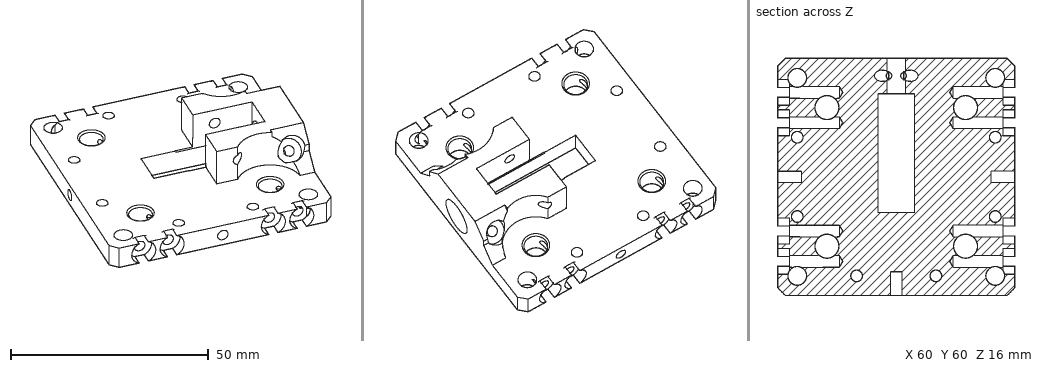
import cadquery as cq
import math

plate_side = 60.0
plate_thickness = 6.0
corner_chamfer = 2.0
half_side = plate_side / 2
mid_plane_z = plate_thickness / 2

corner_hole_diameter = 4.7
corner_hole_offset = 25.0
pin_hole_diameter = 2.9
pin_hole_offset = 10.0
rod_hole_diameter = 6.0
rod_hole_offset = 17.5
rod_hole_chamfer = 0.5

clamp_offset = 3.85
clamp_hole_diameter = 2.9
clamp_hole_depth = 15.6
drill_point_half_angle = math.radians(59)
screw_head_diameter = 6.5
screw_head_depth = 3.0
edge_hole_diameter = 2.8
edge_hole_depth = 6.0

block_width = 25.0
block_length = 25.0
block_height = 10.0
block_front_y = half_side - block_length
block_top_z = plate_thickness + block_height
rod_clearance_radius = 8.5

slot_width = 9.1
slot_front_y = -9.0
slot_back_y = 21.0
arch_diameter = 9.7
arch_start_y = 0.4
arch_top_height = 6.1
arch_axis_z = plate_thickness + arch_top_height - arch_diameter / 2
cross_pin_diameter = 2.9
cross_pin_y = 10.9
cross_pin_height = 6.0
cross_pin_z = plate_thickness + cross_pin_height

flank_size = 4.0
flank_front_y = slot_back_y
inclined_hole_diameter = 2.75
inclined_hole_y = 25.55
inclined_seat_x = 9.7
inclined_seat_height = 3.2
inclined_seat_z = plate_thickness + inclined_seat_height
inclined_hole_length = 12.0
tool_clearance_length = 9.0


def drill(center, direction, diameter, depth):
    """Cylinder starting at center and running along direction."""
    return cq.Workplane(cq.Solid.makeCylinder(diameter / 2, depth, cq.Vector(*center), cq.Vector(*direction)))


def make_plate():
    plate = (
        cq.Workplane("XY")
        .rect(plate_side, plate_side)
        .extrude(plate_thickness)
        .edges("|Z")
        .chamfer(corner_chamfer)
    )
    return plate


def make_block():
    """Block with chamfered top edges, wedges at its foot and round clearances for the rods."""
    block = (
        cq.Workplane("XY", origin=(0, half_side - block_length / 2, plate_thickness))
        .rect(block_width, block_length)
        .extrude(block_height)
    )
    flank_length = half_side - flank_front_y
    half_width = block_width / 2
    for side in (-1, 1):
        flank_plane = cq.Workplane("XZ", origin=(0, half_side, 0))
        top_corner = (
            flank_plane.moveTo(side * half_width, block_top_z)
            .lineTo(side * (half_width - flank_size), block_top_z)
            .lineTo(side * half_width, block_top_z - flank_size)
            .close()
            .extrude(flank_length)
        )
        foot_wedge = (
            flank_plane.moveTo(side * half_width, plate_thickness)
            .lineTo(side * (half_width + flank_size), plate_thickness)
            .lineTo(side * half_width, plate_thickness + flank_size)
            .close()
            .extrude(flank_length)
        )
        rod_clearance = drill(
            (side * rod_hole_offset, rod_hole_offset, plate_thickness),
            (0, 0, 1),
            2 * rod_clearance_radius,
            block_height,
        )
        block = block.cut(top_corner).union(foot_wedge).cut(rod_clearance)
    return block


def cut_slot_and_passages(body):
    slot = (
        cq.Workplane("XY", origin=(0, (slot_front_y + slot_back_y) / 2, 0))
        .rect(slot_width, slot_back_y - slot_front_y)
        .extrude(block_top_z)
    )
    arch = drill((0, arch_start_y, arch_axis_z), (0, 1, 0), arch_diameter, half_side - arch_start_y)
    flat_arm = (
        cq.Workplane("XY", origin=(slot_width / 2, block_front_y, plate_thickness))
        .rect(half_side, slot_back_y - block_front_y, centered=False)
        .extrude(block_height)
    )
    arch = arch.cut(flat_arm)
    cross_pin = drill((-half_side, cross_pin_y, cross_pin_z), (1, 0, 0), cross_pin_diameter, plate_side)
    return body.cut(slot).cut(arch).cut(cross_pin)


def cut_vertical_holes(body):
    corners = [(x, y) for x in (-1, 1) for y in (-1, 1)]
    corner_points = [(x * corner_hole_offset, y * corner_hole_offset) for x, y in corners]
    rod_points = [(x * rod_hole_offset, y * rod_hole_offset) for x, y in corners]
    pin_points = [(x * corner_hole_offset, y * pin_hole_offset) for x, y in corners]
    pin_points += [(x * pin_hole_offset, -corner_hole_offset) for x in (-1, 1)]
    hole_groups = (
        (corner_points, corner_hole_diameter),
        (pin_points, pin_hole_diameter),
        (rod_points, rod_hole_diameter),
    )
    for points, diameter in hole_groups:
        holes = cq.Workplane("XY").pushPoints(points).circle(diameter / 2).extrude(plate_thickness)
        body = body.cut(holes)
    rod_radius = rod_hole_diameter / 2
    for x, y in rod_points:
        countersink = cq.Solid.makeCone(
            rod_radius,
            rod_radius + rod_hole_chamfer,
            rod_hole_chamfer,
            cq.Vector(x, y, plate_thickness - rod_hole_chamfer),
        )
        body = body.cut(cq.Workplane(countersink))
    return body


def cut_edge_holes(body):
    """Counterbored clamp holes and plain blind holes drilled in from the plate edges."""
    clamp_radius = clamp_hole_diameter / 2
    point_length = clamp_radius / math.tan(drill_point_half_angle)
    for side in (-1, 1):
        inward = (-side, 0, 0)
        edge_x = side * half_side
        for rod_y in (-rod_hole_offset, rod_hole_offset):
            for y in (rod_y - clamp_offset, rod_y + clamp_offset):
                start = (edge_x, y, mid_plane_z)
                tip_start = cq.Vector(edge_x - side * clamp_hole_depth, y, mid_plane_z)
                drill_point = cq.Solid.makeCone(clamp_radius, 0, point_length, tip_start, cq.Vector(*inward))
                body = body.cut(drill(start, inward, screw_head_diameter, screw_head_depth))
                body = body.cut(drill(start, inward, clamp_hole_diameter, clamp_hole_depth))
                body = body.cut(cq.Workplane(drill_point))
        body = body.cut(drill((edge_x, 0, mid_plane_z), inward, edge_hole_diameter, edge_hole_depth))
    return body.cut(drill((0, -half_side, mid_plane_z), (0, 1, 0), edge_hole_diameter, edge_hole_depth))


def cut_inclined_holes(body):
    """Holes at 45 degrees through the flanks, with a flat screw seat."""
    for side in (-1, 1):
        seat = (side * inclined_seat_x, inclined_hole_y, inclined_seat_z)
        outward = (side, 0, 1)
        inward = (-side, 0, -1)
        body = body.cut(drill(seat, outward, screw_head_diameter, tool_clearance_length))
        body = body.cut(drill(seat, inward, inclined_hole_diameter, inclined_hole_length))
    return body


result = make_plate().union(make_block())
result = cut_slot_and_passages(result)
result = cut_vertical_holes(result)
result = cut_edge_holes(result)
result = cut_inclined_holes(result)